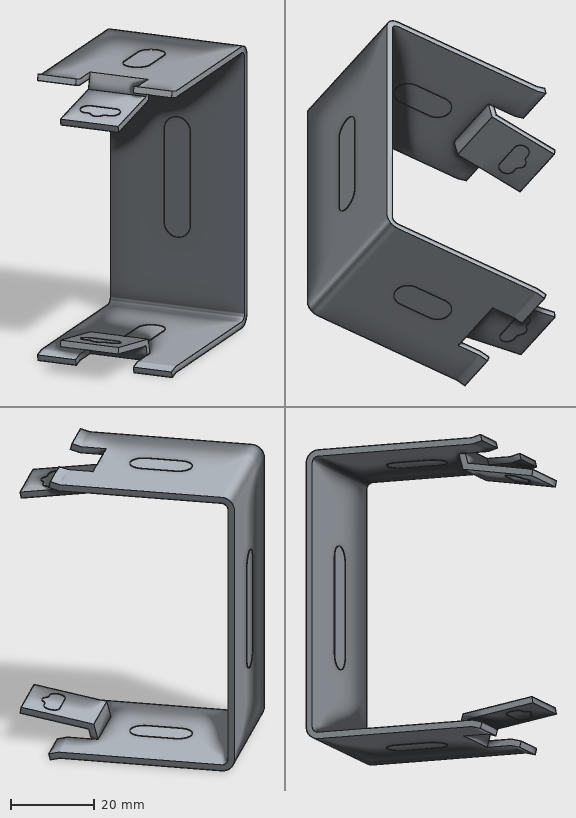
import cadquery as cq
import math

width = 35.0
height = 71.8
thickness = 1.6
outer_bend = 3.15
inner_bend = outer_bend - thickness

leg_length = 42.85
lip_length = 2.4
lip_angle = math.radians(15)

tongue_width = 15.1
tongue_start = 36.7
web_angle = math.radians(15)
tongue_slope = math.radians(9.3)
tongue_drop = 4.0
tongue_tip = 54.55

proud = 0.15
slot_width = 6.8
back_slot_length = 30.15
leg_slot_length = 15.15
leg_slot_center = 21.6

key_length = 10.2
key_width = 3.9
key_center = 47.95
lobe_radius = 1.8
lobe_offset = 1.3
lobe_blend = 1.1
lobe_margin = 0.1

lip_rise = lip_length * math.sin(lip_angle)
leg_top = height / 2 - lip_rise
leg_inside = leg_top - thickness


def extrude_profile(profile, span):
    """Extrude a YZ profile symmetrically across the width."""
    return profile.close().extrude(span / 2, both=True)


def make_channel():
    """U-shaped channel with bent corners at the back."""
    outside = (
        cq.Workplane("XY")
        .box(width, leg_length, 2 * leg_top, centered=(True, False, True))
        .translate((0, -leg_length, 0))
        .edges("|X and >Y")
        .fillet(outer_bend)
    )
    inside = (
        cq.Workplane("XY")
        .box(width, leg_length, 2 * leg_inside, centered=(True, False, True))
        .translate((0, -leg_length - thickness, 0))
        .edges("|X and >Y")
        .fillet(inner_bend)
    )
    return outside.cut(inside)


def make_lip():
    """Outward flare along the edge of the upper leg, mitred at its bend."""
    run = lip_length * math.cos(lip_angle)
    miter = thickness * math.tan(lip_angle / 2)
    outer_bend_y = -leg_length + miter / 2
    inner_bend_y = -leg_length - miter / 2
    outer_tip_y = -leg_length - run + miter / 2
    inner_tip_y = outer_tip_y - thickness * math.sin(lip_angle)
    inner_tip_z = height / 2 - thickness * math.cos(lip_angle)
    profile = (
        cq.Workplane("YZ")
        .moveTo(outer_bend_y, leg_top)
        .lineTo(outer_tip_y, height / 2)
        .lineTo(inner_tip_y, inner_tip_z)
        .lineTo(inner_bend_y, leg_inside)
        .lineTo(outer_bend_y, leg_inside)
    )
    return extrude_profile(profile, width)


def make_notch():
    """Opening in the upper leg and lip, ahead of the leaning web."""
    lean = height / 4 * math.tan(web_angle)
    profile = (
        cq.Workplane("YZ")
        .moveTo(-tongue_start, leg_top)
        .lineTo(-tongue_start, height)
        .lineTo(-height, height)
        .lineTo(-height, leg_top - height / 4)
        .lineTo(-tongue_start - lean, leg_top - height / 4)
    )
    return extrude_profile(profile, tongue_width)


def make_tongue():
    """Leaning web and sloping tongue below the upper leg."""
    corner_y = -tongue_start - tongue_drop * math.tan(web_angle)
    corner_z = leg_top - tongue_drop
    tip_z = corner_z - (tongue_tip + corner_y) * math.tan(tongue_slope)
    web_shift = thickness / math.cos(web_angle)
    sheet_drop = thickness / math.cos(tongue_slope)
    corner_drop = (sheet_drop - web_shift * math.tan(tongue_slope)) / (
        1 - math.tan(web_angle) * math.tan(tongue_slope)
    )
    profile = (
        cq.Workplane("YZ")
        .moveTo(-tongue_start, leg_top)
        .lineTo(corner_y, corner_z)
        .lineTo(-tongue_tip, tip_z)
        .lineTo(
            -tongue_tip + thickness * math.sin(tongue_slope),
            tip_z - thickness * math.cos(tongue_slope),
        )
        .lineTo(
            corner_y + web_shift - corner_drop * math.tan(web_angle),
            corner_z - corner_drop,
        )
        .lineTo(-tongue_start + web_shift, leg_top)
    )
    return extrude_profile(profile, tongue_width)


def make_key_pad():
    """Keyhole-shaped pad, square to the upper tongue."""
    depth = thickness + 2 * proud
    pad = cq.Workplane("XY").slot2D(key_length, key_width).extrude(depth)
    lobe = cq.Workplane("XY").center(0, -lobe_offset).circle(lobe_radius).extrude(depth)
    pad = pad.union(lobe)
    lobe_corners = cq.selectors.BoxSelector(
        (-lobe_radius - lobe_margin, -key_width / 2 - lobe_margin, 0),
        (lobe_radius + lobe_margin, -key_width / 2 + lobe_margin, depth),
    )
    pad = pad.edges("|Z").edges(lobe_corners).fillet(lobe_blend)
    corner_y = tongue_start + tongue_drop * math.tan(web_angle)
    surface_z = leg_top - tongue_drop - (key_center - corner_y) * math.tan(tongue_slope)
    return (
        pad.translate((0, 0, proud - depth))
        .rotate((0, 0, 0), (1, 0, 0), math.degrees(tongue_slope))
        .translate((0, -key_center, surface_z))
    )


def make_leg_pad():
    """Rounded slot pad through the upper leg."""
    return (
        cq.Workplane("XY", origin=(0, -leg_slot_center, leg_inside - proud))
        .slot2D(leg_slot_length, slot_width, 90)
        .extrude(thickness + 2 * proud)
    )


def make_back_pad():
    """Rounded slot pad through the back wall."""
    return (
        cq.Workplane("XZ", origin=(0, proud, 0))
        .slot2D(back_slot_length, slot_width, 90)
        .extrude(thickness + 2 * proud)
    )


def both_legs(feature):
    """Pair an upper-leg feature with its mirror image on the lower leg."""
    return feature.union(feature.mirror("XY"))


result = (
    make_channel()
    .union(both_legs(make_lip()))
    .cut(both_legs(make_notch()))
    .union(both_legs(make_tongue()))
    .union(both_legs(make_key_pad()))
    .union(both_legs(make_leg_pad()))
    .union(make_back_pad())
)